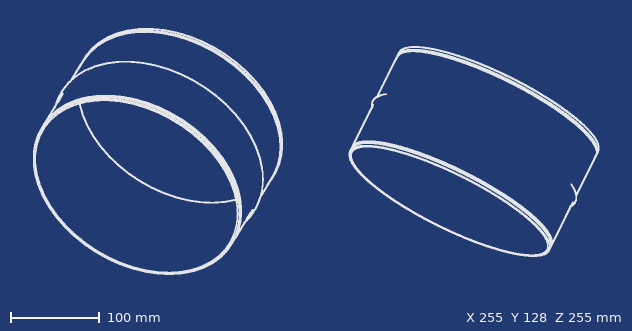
import cadquery as cq

length = 128.0
bead_radius = 127.5
outer_radius = 125.2
inner_radius = 123.0
bead_nose = 3.0
bead_root_fillet = 1.3
groove_offset = 3.5
groove_width = 2.3
groove_depth = 0.5
groove_slope_width = 0.8

half_length = length / 2


def tube():
    """Plain thin-walled tube along the Y axis."""
    return (
        cq.Workplane("XZ")
        .circle(outer_radius)
        .circle(inner_radius)
        .extrude(half_length, both=True)
    )


def bead():
    """Half-round bead blended into the tube by concave root fillets."""
    nose_center = bead_radius - bead_nose
    root_center_radius = outer_radius + bead_root_fillet
    center_distance = bead_nose + bead_root_fillet
    root_center_y = (center_distance**2 - (root_center_radius - nose_center) ** 2) ** 0.5
    nose_share = bead_nose / center_distance
    tangent_y = root_center_y * nose_share
    tangent_radius = nose_center + (root_center_radius - nose_center) * nose_share
    middle_radius = (inner_radius + outer_radius) / 2
    return (
        cq.Workplane("XY")
        .moveTo(middle_radius, -root_center_y)
        .lineTo(outer_radius, -root_center_y)
        .radiusArc((tangent_radius, -tangent_y), bead_root_fillet)
        .threePointArc((bead_radius, 0), (tangent_radius, tangent_y))
        .radiusArc((outer_radius, root_center_y), bead_root_fillet)
        .lineTo(middle_radius, root_center_y)
        .close()
        .revolve(360, (0, 0, 0), (0, 1, 0))
    )


def end_groove():
    """Cutter for the groove near the +Y end: square outer wall, sloped inner wall."""
    outer_y = half_length - groove_offset
    inner_y = outer_y - groove_width
    floor_radius = outer_radius - groove_depth
    return (
        cq.Workplane("XY")
        .moveTo(bead_radius, outer_y)
        .lineTo(floor_radius, outer_y)
        .lineTo(floor_radius, inner_y + groove_slope_width)
        .lineTo(outer_radius, inner_y)
        .lineTo(bead_radius, inner_y)
        .close()
        .revolve(360, (0, 0, 0), (0, 1, 0))
    )


groove_cutter = end_groove()
result = tube().union(bead()).cut(groove_cutter).cut(groove_cutter.mirror("XZ"))